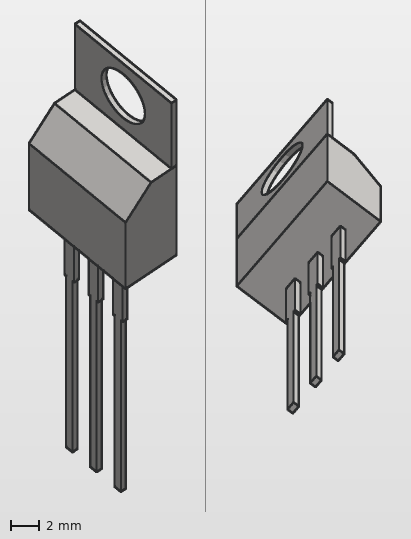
import cadquery as cq

total_height = 40.4
package_width = 10.18
package_depth = 4.85

tab_height = 6.85
tab_thickness = 0.5
tab_hole_diameter = 4.55
tab_hole_drop = 3.4

housing_height = 9.37
bevel_size = 2.42

lead_pitch = 2.55
lead_thickness = 0.5
lead_wide_width = 1.0
lead_narrow_width = 0.7
lead_wide_length = 6.25
lead_center_y = -0.65

tab_bottom_z = total_height - tab_height
housing_bottom_z = tab_bottom_z - housing_height
lead_step_z = housing_bottom_z - lead_wide_length
back_y = package_depth / 2
front_y = -back_y


def make_tab():
    """Flat plate flush with the housing back, pierced by the mounting hole."""
    plate = cq.Workplane("XY").box(
        package_width, tab_thickness, tab_height, centered=(True, False, False)
    ).translate((0, back_y - tab_thickness, tab_bottom_z))
    hole = (
        cq.Workplane("XZ", origin=(0, back_y, total_height - tab_hole_drop))
        .circle(tab_hole_diameter / 2)
        .extrude(tab_thickness)
    )
    return plate.cut(hole)


def make_housing():
    """Block with a bevelled upper front edge, extruded across the width."""
    return (
        cq.Workplane("YZ")
        .moveTo(back_y, housing_bottom_z)
        .lineTo(back_y, tab_bottom_z)
        .lineTo(front_y + bevel_size, tab_bottom_z)
        .lineTo(front_y, tab_bottom_z - bevel_size)
        .lineTo(front_y, housing_bottom_z)
        .close()
        .extrude(package_width / 2, both=True)
    )


def make_lead(center_x):
    """Flat lead: a wide shoulder under the housing and a narrow leg below it."""
    shoulder = cq.Workplane("XY").box(
        lead_wide_width, lead_thickness, lead_wide_length, centered=(True, True, False)
    ).translate((center_x, lead_center_y, lead_step_z))
    leg = cq.Workplane("XY").box(
        lead_narrow_width, lead_thickness, lead_step_z, centered=(True, True, False)
    ).translate((center_x, lead_center_y, 0))
    return shoulder.union(leg)


tab = make_tab()
housing = make_housing()
leads = [make_lead(position * lead_pitch) for position in (-1, 0, 1)]

result = cq.Compound.makeCompound([tab.val(), housing.val(), *[lead.val() for lead in leads]])